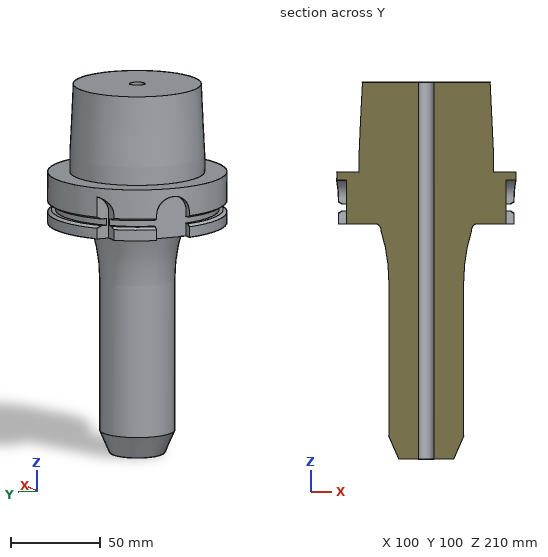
import cadquery as cq
import math

total_height = 210.0
taper_base_z = 170.0
flange_top_z = 160.0
flange_bottom_z = 131.0
neck_top_z = 127.5
neck_base_z = 99.1
nose_base_z = 13.0

taper_top_radius = 35.7
taper_base_radius = 37.5
flange_radius = 50.0
fillet_outer_radius = 28.1
neck_top_radius = 25.5
shaft_radius = 21.0
nose_tip_radius = 15.3
tip_fillet = 1.3
bore_radius = 4.2

groove_floor_radius = 45.5
groove_ledge_radius = 47.9
groove_top_z = 143.5
groove_bottom_z = 137.1
groove_flank_height = 1.3

slot_width = 20.0
slot_top_z = 155.5
drive_slot_floor_x = 44.5
side_notch_floor_x = 31.7
side_notch_wall_y = 31.5


def neck_flare_midpoint():
    """Middle of the neck arc, which leaves the shaft tangentially."""
    rise = neck_top_z - neck_base_z
    flare = neck_top_radius - shaft_radius
    arc_radius = (rise**2 + flare**2) / (2 * flare)
    half_angle = math.asin(rise / arc_radius) / 2
    radius = shaft_radius + arc_radius * (1 - math.cos(half_angle))
    return radius, neck_base_z + arc_radius * math.sin(half_angle)


def turned_body():
    """Taper, grooved flange, flared neck, shaft and nose as one revolve."""
    fillet_mid = (
        fillet_outer_radius - (fillet_outer_radius - neck_top_radius) * math.cos(math.pi / 4),
        neck_top_z + (flange_bottom_z - neck_top_z) * math.sin(math.pi / 4),
    )
    profile = (
        cq.Workplane("XZ")
        .moveTo(0, 0)
        .lineTo(nose_tip_radius, 0)
        .lineTo(shaft_radius, nose_base_z)
        .lineTo(shaft_radius, neck_base_z)
        .threePointArc(neck_flare_midpoint(), (neck_top_radius, neck_top_z))
        .threePointArc(fillet_mid, (fillet_outer_radius, flange_bottom_z))
        .lineTo(flange_radius, flange_bottom_z)
        .lineTo(flange_radius, groove_bottom_z)
        .lineTo(groove_ledge_radius, groove_bottom_z + groove_flank_height)
        .lineTo(groove_floor_radius, groove_bottom_z + groove_flank_height)
        .lineTo(groove_floor_radius, groove_top_z - groove_flank_height)
        .lineTo(groove_ledge_radius, groove_top_z - groove_flank_height)
        .lineTo(flange_radius, groove_top_z)
        .lineTo(flange_radius, flange_top_z)
        .lineTo(taper_base_radius, flange_top_z)
        .lineTo(taper_base_radius, taper_base_z)
        .lineTo(taper_top_radius, total_height)
        .lineTo(0, total_height)
        .close()
    )
    body = profile.revolve(360, (0, 0, 0), (0, 1, 0))
    return body.faces("<Z").edges().fillet(tip_fillet)


def slot_cutter(floor_x, center_y):
    """Slot volume with a round upper end, reaching outward along +X from its floor."""
    half_width = slot_width / 2
    arc_center_z = slot_top_z - half_width
    return (
        cq.Workplane("YZ", origin=(floor_x, center_y, 0))
        .moveTo(-half_width, flange_bottom_z)
        .lineTo(half_width, flange_bottom_z)
        .lineTo(half_width, arc_center_z)
        .threePointArc((0, slot_top_z), (-half_width, arc_center_z))
        .close()
        .extrude(flange_radius - floor_x)
    )


drive_slot = slot_cutter(drive_slot_floor_x, 0)
side_notch = slot_cutter(side_notch_floor_x, side_notch_wall_y + slot_width / 2).mirror("YZ")
bore = cq.Workplane("XY").circle(bore_radius).extrude(total_height)

result = (
    turned_body()
    .cut(drive_slot)
    .cut(drive_slot.mirror("YZ"))
    .cut(side_notch)
    .cut(bore)
)